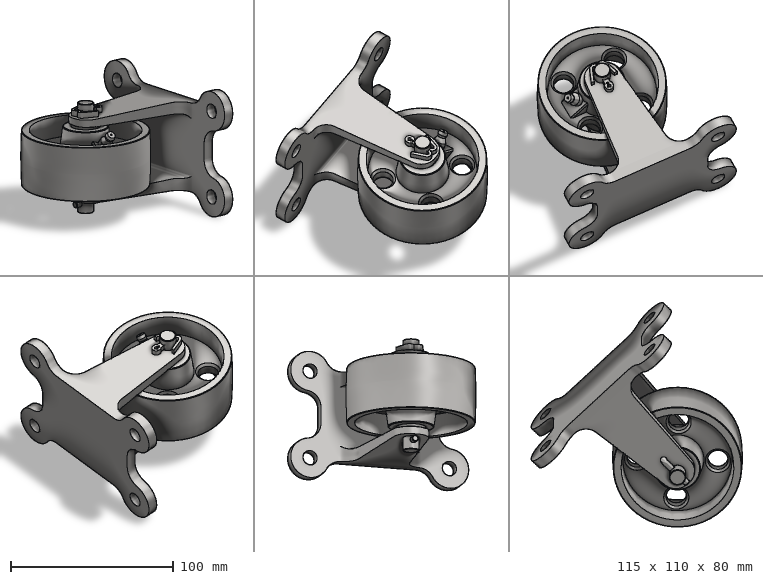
import cadquery as cq
import math


HOLE_X = 45.0
HOLE_Z = 27.5
EAR_RADIUS = 12.5
MOUNT_HOLE_RADIUS = 4.5
PLATE_BACK = 70.0
PLATE_THICKNESS = 6.6
PLATE_HALF_WIDTH = 38.0
PLATE_HALF_HEIGHT = 28.5
PLATE_BLEND = 10.0

LEG_END = -9.7
LEG_END_HALF_WIDTH = 10.2
LEG_ROOT_HALF_WIDTH = 17.4
LEG_CORNER = 10.0
LEG_FLARE = 10.0
LEG_END_OUTER = 26.55
LEG_ROOT_INNER = 20.5
LEG_END_INNER = 22.0
LEG_FILLET = 2.3

WHEEL_RADIUS = 40.0
TREAD_EDGE_RADIUS = 39.6
RIM_HALF_WIDTH = 17.4
RIM_CHAMFER = 0.4
RIM_INNER_TOP = 34.7
RIM_INNER_ROOT = 33.6
WEB_HALF = 4.3
HUB_HALF = 20.0
HUB_TOP_RADIUS = 14.15
HUB_BASE_RADIUS = 16.3
HUB_CHAMFER = 0.5
WHEEL_TURN = 1.4
WEB_HOLES = 4
WEB_HOLE_CIRCLE = 24.9
WEB_HOLE_RADIUS = 6.25
WEB_HOLE_CHAMFER = 1.5

AXLE_RADIUS = 5.0
AXLE_HALF = 35.0
AXLE_CHAMFER = 0.4
WASHER_RADIUS = 9.1
WASHER_THICKNESS = 1.6
PIN_HEIGHT = 29.0
COTTER_THICKNESS = 3.6
LOOP_Y = 9.75
LOOP_RADIUS = 2.65
LOOP_STRAND = 1.6
SHOULDER_Y = 8.5
SHOULDER_RADIUS = 1.2
SLIT_HALF = 0.4
SLIT_END = 7.1
STEM_HALF = 1.8
TURN_X = 2.8
TURN_Y = -5.35
LEG_LEAN = 20.0
LEG_TIP_Y = 3.05
LEG_WIDTH = 1.85
LOCK_RADIUS = 2.0
LOCK_TIP = -8.7
LOCK_BEND = 10.1
LOCK_BEND_RADIUS = 2.05
LOCK_DEPTH = 2.0
LOCK_CHAMFER = 0.4

BOSS_TIP = 25.2
BOSS_HALF_WIDTH = 6.95
BOSS_CHAMFER = 0.9
BOSS_SLOPE = 40.0
NIPPLE_FOOT = 10.6
NIPPLE_SINK = 1.0
NIPPLE_RADIUS = 4.0
NIPPLE_SHOULDER = 3.7
NIPPLE_NECK = 6.8
NIPPLE_HEAD = 8.5
NIPPLE_TIP = 10.7
NIPPLE_NECK_RADIUS = 2.4
NIPPLE_HEAD_RADIUS = 3.1
NIPPLE_TIP_RADIUS = 2.6
NIPPLE_BORE_RADIUS = 0.5
NIPPLE_BORE_DEPTH = 4.0

PLATE_FRONT = PLATE_BACK - PLATE_THICKNESS


def flip_z(body):
    return body.mirror("XY")


def corner_pair(x, y, z):
    nearest = cq.selectors.NearestToPointSelector
    return nearest((x, y, z)) + nearest((-x, y, z))


def mounting_plate():
    reach = EAR_RADIUS + PLATE_BLEND
    share = EAR_RADIUS / reach
    top_arc_z = PLATE_HALF_HEIGHT + PLATE_BLEND
    top_arc_x = HOLE_X - math.sqrt(reach**2 - (top_arc_z - HOLE_Z) ** 2)
    side_arc_x = PLATE_HALF_WIDTH + PLATE_BLEND
    side_arc_z = HOLE_Z - math.sqrt(reach**2 - (side_arc_x - HOLE_X) ** 2)
    top_joint = (HOLE_X + (top_arc_x - HOLE_X) * share, HOLE_Z + (top_arc_z - HOLE_Z) * share)
    side_joint = (HOLE_X + (side_arc_x - HOLE_X) * share, HOLE_Z + (side_arc_z - HOLE_Z) * share)
    ear_diagonal = EAR_RADIUS * math.sqrt(0.5)
    ear_far = (HOLE_X + ear_diagonal, HOLE_Z + ear_diagonal)

    quarter = (
        cq.Workplane("XZ", origin=(0, PLATE_BACK, 0))
        .lineTo(0, PLATE_HALF_HEIGHT)
        .lineTo(top_arc_x, PLATE_HALF_HEIGHT)
        .radiusArc(top_joint, -PLATE_BLEND)
        .threePointArc(ear_far, side_joint)
        .radiusArc((PLATE_HALF_WIDTH, side_arc_z), -PLATE_BLEND)
        .lineTo(PLATE_HALF_WIDTH, 0)
        .close()
        .extrude(PLATE_THICKNESS)
    )
    half = quarter.union(quarter.mirror("YZ"))
    plate = half.union(flip_z(half)).clean()
    holes = (
        cq.Workplane("XZ", origin=(0, PLATE_BACK, 0))
        .rect(2 * HOLE_X, 2 * HOLE_Z, forConstruction=True)
        .vertices()
        .circle(MOUNT_HOLE_RADIUS)
        .extrude(PLATE_THICKNESS)
    )
    return plate.cut(holes)


def fork_leg():
    flare_half = LEG_ROOT_HALF_WIDTH + LEG_FLARE
    height = PLATE_HALF_HEIGHT
    outline = (
        cq.Workplane("XY")
        .moveTo(-LEG_END_HALF_WIDTH, LEG_END)
        .lineTo(LEG_END_HALF_WIDTH, LEG_END)
        .lineTo(LEG_ROOT_HALF_WIDTH, PLATE_FRONT)
        .lineTo(flare_half, PLATE_FRONT)
        .lineTo(flare_half, PLATE_BACK)
        .lineTo(-flare_half, PLATE_BACK)
        .lineTo(-flare_half, PLATE_FRONT)
        .lineTo(-LEG_ROOT_HALF_WIDTH, PLATE_FRONT)
        .close()
        .extrude(height)
    )
    outline = outline.edges(corner_pair(LEG_END_HALF_WIDTH, LEG_END, height / 2)).fillet(LEG_CORNER)
    outline = outline.edges(corner_pair(LEG_ROOT_HALF_WIDTH, PLATE_FRONT, height / 2)).fillet(LEG_FLARE)

    backing = LEG_ROOT_INNER - 2 * LEG_FILLET
    profile = (
        cq.Workplane("YZ", origin=(-flare_half, 0, 0))
        .moveTo(LEG_END, LEG_END_INNER)
        .lineTo(LEG_END, LEG_END_OUTER)
        .lineTo(PLATE_FRONT, PLATE_HALF_HEIGHT)
        .lineTo(PLATE_BACK, PLATE_HALF_HEIGHT)
        .lineTo(PLATE_BACK, backing)
        .lineTo(PLATE_FRONT, backing)
        .lineTo(PLATE_FRONT, LEG_ROOT_INNER)
        .close()
        .extrude(2 * flare_half)
    )
    corner = cq.selectors.NearestToPointSelector((0, PLATE_FRONT, LEG_ROOT_INNER))
    return profile.edges("|X").edges(corner).fillet(LEG_FILLET).intersect(outline)


def wheel_body():
    rise = RIM_HALF_WIDTH - RIM_CHAMFER
    drop = WHEEL_RADIUS - TREAD_EDGE_RADIUS
    crown_radius = (rise**2 + drop**2) / (2 * drop)
    half = (
        cq.Workplane("XZ")
        .moveTo(AXLE_RADIUS, 0)
        .lineTo(AXLE_RADIUS, HUB_HALF)
        .lineTo(HUB_TOP_RADIUS - HUB_CHAMFER, HUB_HALF)
        .lineTo(HUB_TOP_RADIUS, HUB_HALF - HUB_CHAMFER)
        .lineTo(HUB_BASE_RADIUS, WEB_HALF)
        .lineTo(RIM_INNER_ROOT, WEB_HALF)
        .lineTo(RIM_INNER_TOP, RIM_HALF_WIDTH)
        .lineTo(TREAD_EDGE_RADIUS - RIM_CHAMFER, RIM_HALF_WIDTH)
        .lineTo(TREAD_EDGE_RADIUS, RIM_HALF_WIDTH - RIM_CHAMFER)
        .radiusArc((WHEEL_RADIUS, 0), crown_radius)
        .close()
        .revolve(360, (0, 0), (0, 1))
    )
    wheel = half.union(flip_z(half))
    holes = (
        cq.Workplane("XY", origin=(0, 0, -WEB_HALF))
        .polarArray(WEB_HOLE_CIRCLE, 180 / WEB_HOLES, 360, WEB_HOLES)
        .circle(WEB_HOLE_RADIUS)
        .extrude(2 * WEB_HALF)
    )
    wheel = wheel.cut(holes)
    web = cq.selectors.BoxSelector(
        (-WHEEL_RADIUS, -WHEEL_RADIUS, -WEB_HALF - 1), (WHEEL_RADIUS, WHEEL_RADIUS, WEB_HALF + 1)
    )
    hole_rims = cq.selectors.RadiusNthSelector(0)
    return wheel.edges("%CIRCLE").edges(web).edges(hole_rims).chamfer(WEB_HOLE_CHAMFER)


def nipple_boss():
    root = (AXLE_RADIUS + HUB_TOP_RADIUS) / 2
    top = WEB_HALF + (BOSS_TIP - root) * math.tan(math.radians(BOSS_SLOPE))
    wedge = (
        cq.Workplane("XZ", origin=(0, BOSS_HALF_WIDTH, 0))
        .moveTo(root, WEB_HALF)
        .lineTo(BOSS_TIP, WEB_HALF)
        .lineTo(root, top)
        .close()
        .extrude(2 * BOSS_HALF_WIDTH)
    )
    return wedge.faces(">Z").edges("not |Y").chamfer(BOSS_CHAMFER)


def grease_nipple():
    slope = math.radians(BOSS_SLOPE)
    foot = (BOSS_TIP - NIPPLE_FOOT * math.cos(slope), 0, WEB_HALF + NIPPLE_FOOT * math.sin(slope))
    axis = (math.sin(slope), 0, math.cos(slope))
    plane = cq.Plane(origin=foot, xDir=(0, 1, 0), normal=axis)
    profile = [
        (0, -NIPPLE_SINK),
        (NIPPLE_RADIUS, -NIPPLE_SINK),
        (NIPPLE_RADIUS, NIPPLE_SHOULDER),
        (NIPPLE_NECK_RADIUS, NIPPLE_NECK),
        (NIPPLE_HEAD_RADIUS, NIPPLE_HEAD),
        (NIPPLE_TIP_RADIUS, NIPPLE_TIP),
        (0, NIPPLE_TIP),
    ]
    body = cq.Workplane("XZ").polyline(profile).close().revolve(360, (0, 0), (0, 1))
    bore = (
        cq.Workplane("XY", origin=(0, 0, NIPPLE_TIP))
        .circle(NIPPLE_BORE_RADIUS)
        .extrude(-NIPPLE_BORE_DEPTH)
    )
    return cq.Workplane(body.cut(bore).val().moved(cq.Location(plane)))


def axle_rod():
    return (
        cq.Workplane("XY", origin=(0, 0, -AXLE_HALF))
        .circle(AXLE_RADIUS)
        .extrude(2 * AXLE_HALF)
        .edges()
        .chamfer(AXLE_CHAMFER)
    )


def washer():
    return (
        cq.Workplane("XY", origin=(0, 0, HUB_HALF))
        .circle(WASHER_RADIUS)
        .circle(AXLE_RADIUS)
        .extrude(WASHER_THICKNESS)
    )


def locking_pin():
    turn = LOCK_BEND_RADIUS
    path = (
        cq.Workplane("YZ")
        .moveTo(LOCK_TIP, -PIN_HEIGHT)
        .lineTo(LOCK_BEND, -PIN_HEIGHT)
        .tangentArcPoint((turn, turn))
        .line(0, LOCK_DEPTH)
    )
    rod = cq.Workplane("XZ", origin=(0, LOCK_TIP, -PIN_HEIGHT)).circle(LOCK_RADIUS).sweep(path)
    return rod.faces("<Y").chamfer(LOCK_CHAMFER)


def cotter_pin():
    loop_inner = LOOP_RADIUS - LOOP_STRAND
    loop_top = LOOP_Y + LOOP_RADIUS
    loop_diagonal = LOOP_RADIUS * math.sqrt(0.5)
    shoulder_x = LOOP_RADIUS - SHOULDER_RADIUS
    stem_top = SHOULDER_Y - math.sqrt(SHOULDER_RADIUS**2 - (STEM_HALF - shoulder_x) ** 2)
    inner = TURN_X - STEM_HALF
    outer = inner + LEG_WIDTH
    cusp_y = TURN_Y - math.sqrt(outer**2 - TURN_X**2)
    along_x = math.sin(math.radians(LEG_LEAN))
    along_y = math.cos(math.radians(LEG_LEAN))

    def leg_foot(radius):
        return (TURN_X + radius * along_y, TURN_Y - radius * along_x)

    def leg_tip(radius):
        foot_x, foot_y = leg_foot(radius)
        return (foot_x + (LEG_TIP_Y - foot_y) * along_x / along_y, LEG_TIP_Y)

    half = (
        cq.Workplane("XY")
        .moveTo(0, loop_top)
        .threePointArc((loop_diagonal, LOOP_Y + loop_diagonal), (LOOP_RADIUS, LOOP_Y))
        .lineTo(LOOP_RADIUS, SHOULDER_Y)
        .radiusArc((STEM_HALF, stem_top), SHOULDER_RADIUS)
        .lineTo(STEM_HALF, TURN_Y)
        .threePointArc((TURN_X, TURN_Y - inner), leg_foot(inner))
        .lineTo(*leg_tip(inner))
        .lineTo(*leg_tip(outer))
        .lineTo(*leg_foot(outer))
        .threePointArc((TURN_X, TURN_Y - outer), (0, cusp_y))
        .close()
        .extrude(COTTER_THICKNESS)
    )
    eye = cq.Workplane("XY").center(0, LOOP_Y).circle(loop_inner).extrude(COTTER_THICKNESS)
    slit_length = LOOP_Y - SLIT_END
    slit = (
        cq.Workplane("XY")
        .center(0, SLIT_END + slit_length / 2)
        .rect(2 * SLIT_HALF, slit_length)
        .extrude(COTTER_THICKNESS)
    )
    pin = half.union(half.mirror("YZ")).cut(eye.union(slit))
    return pin.translate((0, 0, PIN_HEIGHT - COTTER_THICKNESS / 2))


rod = axle_rod()
cotter = cotter_pin()
lock = locking_pin()
upper_washer = washer()
washers = [upper_washer, flip_z(upper_washer)]

leg = fork_leg()
fork = mounting_plate().union(leg).union(flip_z(leg))
fork = fork.cut(rod).cut(lock)
axle = rod.cut(cotter).cut(lock)

to_wheel_turn = ((0, 0, 0), (0, 0, 1), WHEEL_TURN)
nipple = grease_nipple().rotate(*to_wheel_turn)
wheel = wheel_body().union(nipple_boss()).rotate(*to_wheel_turn).cut(nipple)

result = cq.Compound.makeCompound(
    [fork.val(), wheel.val(), axle.val(), nipple.val(), cotter.val(), lock.val()]
    + [ring.val() for ring in washers]
)